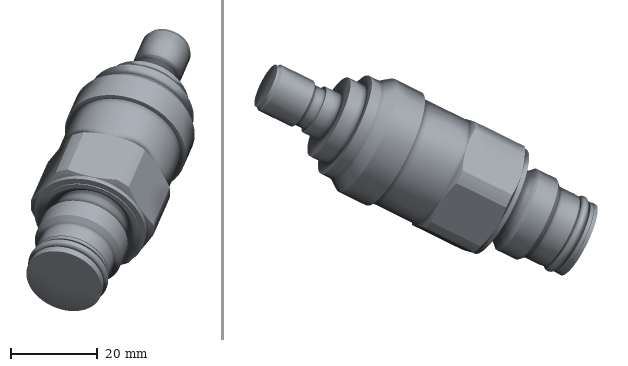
import cadquery as cq
import math

LENGTH = 82.7

NOSE_RADIUS = 9.1
GLAND_RADIUS = 8.1
GLAND_START = 0.9
GLAND_END = 5.5
BACKING_RADIUS = 9.0
BACKING_WIDTH = 0.9
BACKING_EDGE_FILLET = 0.12
SEAL_RADIUS = 9.6
SEAL_SECTION_RADIUS = 1.0
SEAL_CENTER = (GLAND_START + GLAND_END) / 2

BAND_RADIUS = 10.4
BAND_START = 11.25
BAND_END = 16.3
FRONT_CONE_LENGTH = 1.4
REAR_CONE_LENGTH = BAND_RADIUS - NOSE_RADIUS
REAR_CONE_FILLET = 1.4
ROOT_RADIUS = 8.85

BARREL_RADIUS = 13.4
BARREL_START = 20.6
LIP_RADIUS = 11.9
LIP_HEIGHT = 0.21
RECESS_RADIUS = 10.7
RECESS_DEPTH = 1.6

HEX_START = 21.7
HEX_END = 36.4
HEX_ACROSS_FLATS = 27.05
HEX_CORNER_RADIUS = 29.5 / 2
HEX_CHAMFER_ANGLE = 30.0

SLEEVE_RADIUS = 29.0 / 2
SLEEVE_START = 48.8
SLEEVE_END = 56.1
CAP_RADIUS = 12.6
CAP_START = 58.9
CAP_END = 61.8

COLLAR_RADIUS = 10.1
COLLAR_END = 66.0
STEM_RADIUS = 5.9
NECK_RADIUS = 5.1
NECK_START = 70.0
NECK_END = 72.4
TIP_RADIUS = 5.4
TIP_START = 82.1
NECK_CHAMFER = STEM_RADIUS - NECK_RADIUS
TIP_CHAMFER = STEM_RADIUS - TIP_RADIUS


def disc(radius, start, end):
    """Cylinder about the Y axis between two axial places."""
    return cq.Workplane("XZ", origin=(0, start, 0)).circle(radius).extrude(start - end)


def revolved(points):
    """Solid turned about the Y axis from (radius, y) points, closed along the axis."""
    profile = [(0, points[0][1])] + points + [(0, points[-1][1])]
    return cq.Workplane("XY").polyline(profile).close().revolve(360, (0, 0), (0, 1))


def make_nose():
    root_start = BARREL_START - LIP_HEIGHT
    rear_cone_end = BAND_END + REAR_CONE_LENGTH
    nose = revolved([
        (NOSE_RADIUS, 0),
        (NOSE_RADIUS, GLAND_START),
        (GLAND_RADIUS, GLAND_START),
        (GLAND_RADIUS, GLAND_END),
        (NOSE_RADIUS, GLAND_END),
        (NOSE_RADIUS, BAND_START - FRONT_CONE_LENGTH),
        (BAND_RADIUS, BAND_START),
        (BAND_RADIUS, BAND_END),
        (NOSE_RADIUS, rear_cone_end),
        (NOSE_RADIUS, root_start),
        (ROOT_RADIUS, root_start),
        (ROOT_RADIUS, root_start + RECESS_DEPTH),
    ])
    margin = REAR_CONE_LENGTH / 2
    cone_foot = cq.selectors.BoxSelector(
        (-BAND_RADIUS, rear_cone_end - margin, -BAND_RADIUS),
        (BAND_RADIUS, rear_cone_end + margin, BAND_RADIUS),
    )
    return nose.edges("%CIRCLE").edges(cone_foot).fillet(REAR_CONE_FILLET)


def make_backing_ring(start):
    ring = disc(BACKING_RADIUS, start, start + BACKING_WIDTH)
    return ring.edges().fillet(BACKING_EDGE_FILLET)


def make_seal():
    ring_radius = SEAL_RADIUS - SEAL_SECTION_RADIUS
    section = cq.Workplane("XY").center(ring_radius, SEAL_CENTER).circle(SEAL_SECTION_RADIUS)
    return section.revolve(360, (-ring_radius, 0), (-ring_radius, 1))


def make_barrel():
    barrel = disc(BARREL_RADIUS, BARREL_START, SLEEVE_START)
    lip_face = BARREL_START - LIP_HEIGHT
    lip = disc(LIP_RADIUS, lip_face, BARREL_START)
    recess = revolved([(RECESS_RADIUS, lip_face), (ROOT_RADIUS, lip_face + RECESS_DEPTH)])
    return barrel.union(lip).cut(recess)


def make_hexagon():
    chamfer_length = (HEX_CORNER_RADIUS - BARREL_RADIUS) * math.tan(math.radians(HEX_CHAMFER_ANGLE))
    chamfered_blank = revolved([
        (BARREL_RADIUS, HEX_START),
        (HEX_CORNER_RADIUS, HEX_START + chamfer_length),
        (HEX_CORNER_RADIUS, HEX_END - chamfer_length),
        (BARREL_RADIUS, HEX_END),
    ])
    across_corners = HEX_ACROSS_FLATS / math.cos(math.pi / 6)
    prism = (
        cq.Workplane("XZ", origin=(0, HEX_START, 0))
        .polygon(6, across_corners)
        .extrude(HEX_START - HEX_END)
    )
    hexagon = prism.intersect(chamfered_blank)
    return hexagon.cut(disc(BARREL_RADIUS, HEX_START, HEX_END))


def make_sleeve_and_stem():
    return revolved([
        (SLEEVE_RADIUS, SLEEVE_START),
        (SLEEVE_RADIUS, SLEEVE_END),
        (CAP_RADIUS, CAP_START),
        (CAP_RADIUS, CAP_END),
        (COLLAR_RADIUS, CAP_END),
        (COLLAR_RADIUS, COLLAR_END),
        (STEM_RADIUS, COLLAR_END),
        (STEM_RADIUS, NECK_START),
        (NECK_RADIUS, NECK_START),
        (NECK_RADIUS, NECK_END),
        (STEM_RADIUS, NECK_END + NECK_CHAMFER),
        (STEM_RADIUS, TIP_START - TIP_CHAMFER),
        (TIP_RADIUS, TIP_START),
        (TIP_RADIUS, LENGTH),
    ])


result = (
    make_barrel()
    .union(make_hexagon())
    .union(make_nose())
    .union(make_backing_ring(GLAND_START))
    .union(make_backing_ring(GLAND_END - BACKING_WIDTH))
    .union(make_seal())
    .union(make_sleeve_and_stem())
)